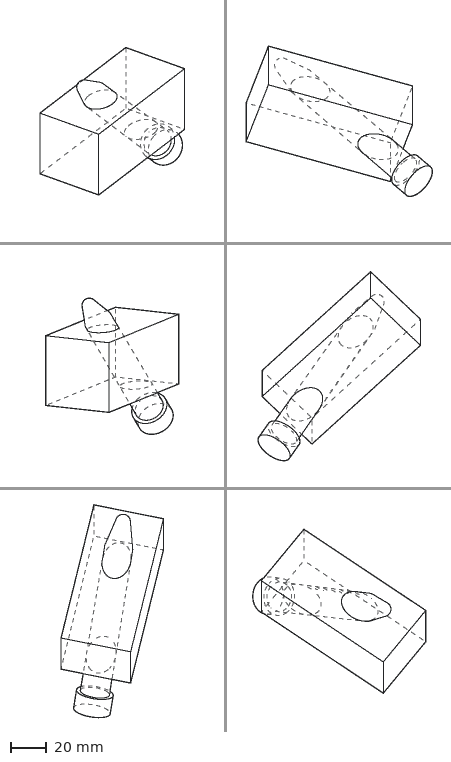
import cadquery as cq
import math

overall_length = 102.6

block_width = 40.0
block_length = 85.1
block_height = 40.0

pin_tilt = 45.0
pin_back_overhang = overall_length - block_length
pin_bottom_overhang = 31.4
head_radius = 20.9 / 2
head_height = 11.0
collar_radius = 16.6 / 2
collar_height = 2.1
shaft_end_radius = 15.9 / 2
shaft_end = 98.3
tip_radius = 4.1
pin_length = 118.1

tilt = math.radians(pin_tilt)
head_center_y = block_length / 2 + pin_back_overhang - head_radius * math.cos(tilt)
head_center_z = -block_height / 2 - pin_bottom_overhang + head_radius * math.sin(tilt)

tip_center = pin_length - tip_radius
cone_length = tip_center - shaft_end
edge_distance = math.hypot(cone_length, shaft_end_radius)
cone_angle = math.acos(tip_radius / edge_distance) - math.atan2(cone_length, shaft_end_radius)


def tip_point(angle):
    """Point on the round tip, with the angle measured up from its equator."""
    return tip_radius * math.cos(angle), tip_center + tip_radius * math.sin(angle)


def place_on_axis(body):
    """Tilt a body built along Z and move its base to the centre of the pin head."""
    tilted = body.rotate((0, 0, 0), (1, 0, 0), pin_tilt)
    return tilted.translate((0, head_center_y, head_center_z))


def make_pin():
    collar_top = head_height + collar_height
    profile = (
        cq.Workplane("XZ")
        .lineTo(head_radius, 0)
        .lineTo(head_radius, head_height)
        .lineTo(collar_radius, head_height)
        .lineTo(collar_radius, collar_top)
        .lineTo(shaft_end_radius, shaft_end)
        .lineTo(*tip_point(cone_angle))
        .threePointArc(tip_point(math.pi / 4), (0, pin_length))
        .close()
    )
    return place_on_axis(profile.revolve(360, (0, 0, 0), (0, 1, 0)))


def make_block(pin):
    """Block with a through hole that fits the pin."""
    return cq.Workplane("XY").box(block_width, block_length, block_height).cut(pin)


pin = make_pin()
block = make_block(pin)
result = cq.Compound.makeCompound([block.val(), pin.val()])